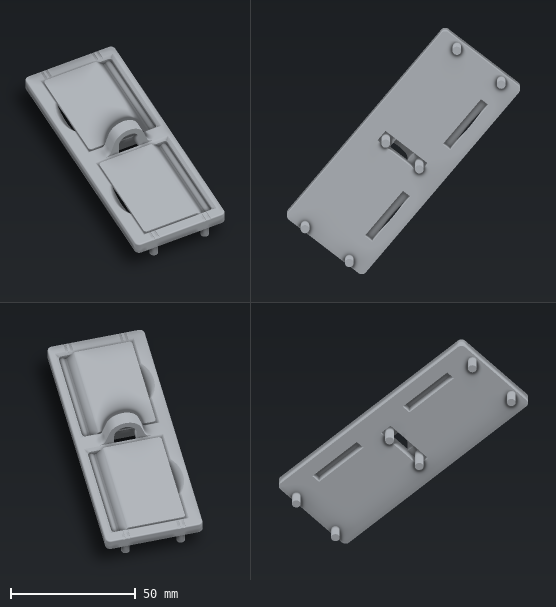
import cadquery as cq
import math

LENGTH = 101.8
WIDTH = 40.0
THICKNESS = 5.0
CORNER_RADIUS = 2.0
TOP_FILLET = 0.6

WINDOW_INNER_X = 3.0
WINDOW_OUTER_X = 46.8
WINDOW_FRONT_Y = -15.0
WINDOW_REAR_Y = 17.6
BEVEL = 1.1
PANEL_CORNER_RADIUS = 1.2

WINDOW_LENGTH = WINDOW_OUTER_X - WINDOW_INNER_X
WINDOW_WIDTH = WINDOW_REAR_Y - WINDOW_FRONT_Y
WINDOW_X = (WINDOW_INNER_X + WINDOW_OUTER_X) / 2
WINDOW_Y = (WINDOW_FRONT_Y + WINDOW_REAR_Y) / 2
PANEL_LENGTH = WINDOW_LENGTH - 2 * BEVEL
PANEL_WIDTH = WINDOW_WIDTH - 2 * BEVEL
PANEL_FRONT_Y = WINDOW_FRONT_Y + BEVEL
PANEL_REAR_Y = WINDOW_REAR_Y - BEVEL

CHANNEL_DEPTH = 3.3
CHANNEL_FLOOR_FRONT_Y = 13.0
CHANNEL_TOP_FRONT_Y = 9.7
CHANNEL_EDGE_RADIUS = 1.4
ROD_RADIUS = 1.4
ROD_AXIS_BELOW_FLOOR = 0.6
ROD_Y = PANEL_REAR_Y - ROD_RADIUS

SCOOP_HALF_LENGTH = 8.8
SCOOP_FRONT_Y = -17.9
TUNNEL_HALF_LENGTH = 7.6
TUNNEL_END_DROP = 0.7

RELIEF_ROOF_DEPTH = 1.6
RELIEF_HALF_LENGTH = 12.2
RELIEF_REAR_Y = WINDOW_FRONT_Y + THICKNESS

LOOP_Y = 0.5
LOOP_THICKNESS = 5.3
LOOP_HEIGHT = 11.4
LOOP_OUTER_RADIUS = 6.9
LOOP_INNER_RADIUS = 4.6
LOOP_CROWN = 2.6
LOOP_FOOT_RADIUS = 3.0
LOOP_FLANK_ANGLE = math.radians(18.4)
LOOP_LEG_DEPTH = 1.5

PIN_DIAMETER = 3.5
PIN_LENGTH = 5.6
END_PIN_X = 48.5
LOOP_PIN_OFFSET_Y = 8.7

GROOVE_CENTRE_Y = 0.2
GROOVE_PAIR_OFFSET_Y = 11.4
GROOVE_HALF_PITCH = 1.0
GROOVE_WIDTH = 1.0
GROOVE_DEPTH = 0.4


def make_frame():
    return (
        cq.Workplane("XY")
        .rect(LENGTH, WIDTH)
        .extrude(THICKNESS)
        .edges("|Z")
        .fillet(CORNER_RADIUS)
        .faces(">Z")
        .edges()
        .fillet(TOP_FILLET)
    )


def make_panel(window_x):
    return (
        cq.Workplane("XY")
        .center(window_x, WINDOW_Y)
        .rect(PANEL_LENGTH, PANEL_WIDTH)
        .extrude(THICKNESS)
        .edges("|Z")
        .fillet(PANEL_CORNER_RADIUS)
    )


def make_moat(window_x):
    opening = (
        cq.Workplane("XY")
        .workplane(offset=THICKNESS)
        .center(window_x, WINDOW_Y)
        .rect(WINDOW_LENGTH, WINDOW_WIDTH)
        .extrude(-BEVEL, taper=45)
    )
    return opening.cut(make_panel(window_x))


def make_channel(window_x):
    """Space above the channel floor, slope and rod, within the panel outline."""
    floor_z = THICKNESS - CHANNEL_DEPTH
    rod_top_z = floor_z - ROD_AXIS_BELOW_FLOOR + ROD_RADIUS
    rod_half_width = math.sqrt(ROD_RADIUS**2 - ROD_AXIS_BELOW_FLOOR**2)
    slope_angle = math.atan2(CHANNEL_DEPTH, CHANNEL_FLOOR_FRONT_Y - CHANNEL_TOP_FRONT_Y)
    tangent_length = CHANNEL_EDGE_RADIUS * math.tan(slope_angle / 2)
    edge_y = CHANNEL_TOP_FRONT_Y - tangent_length
    edge_centre_z = THICKNESS - CHANNEL_EDGE_RADIUS

    def edge_point(angle):
        return (
            edge_y + CHANNEL_EDGE_RADIUS * math.sin(angle),
            edge_centre_z + CHANNEL_EDGE_RADIUS * math.cos(angle),
        )

    profile = (
        cq.Workplane("YZ")
        .moveTo(edge_y, THICKNESS)
        .threePointArc(edge_point(slope_angle / 2), edge_point(slope_angle))
        .lineTo(CHANNEL_FLOOR_FRONT_Y, floor_z)
        .lineTo(ROD_Y - rod_half_width, floor_z)
        .threePointArc((ROD_Y, rod_top_z), (ROD_Y + rod_half_width, floor_z))
        .lineTo(PANEL_REAR_Y, floor_z)
        .lineTo(PANEL_REAR_Y, THICKNESS)
        .close()
    )
    channel = profile.extrude(WINDOW_LENGTH / 2, both=True).translate((window_x, 0, 0))
    return channel.intersect(make_panel(window_x))


def slide_down_and_back(outline):
    """Sweep a closed outline on the top face through the plate at 45 degrees."""
    direction = cq.Vector(0, THICKNESS, -THICKNESS)
    return cq.Workplane(cq.Solid.extrudeLinear(outline.val(), [], direction))


def make_scoop(window_x):
    top = cq.Workplane("XY").workplane(offset=THICKNESS).center(window_x, 0)
    hollow = slide_down_and_back(
        top.moveTo(-SCOOP_HALF_LENGTH, WINDOW_FRONT_Y)
        .threePointArc((0, SCOOP_FRONT_Y), (SCOOP_HALF_LENGTH, WINDOW_FRONT_Y))
        .lineTo(SCOOP_HALF_LENGTH, PANEL_FRONT_Y)
        .lineTo(-SCOOP_HALF_LENGTH, PANEL_FRONT_Y)
        .close()
    )
    tunnel_end_y = WINDOW_FRONT_Y - TUNNEL_END_DROP
    tunnel = slide_down_and_back(
        top.moveTo(-TUNNEL_HALF_LENGTH, tunnel_end_y)
        .threePointArc((0, SCOOP_FRONT_Y), (TUNNEL_HALF_LENGTH, tunnel_end_y))
        .threePointArc((0, WINDOW_FRONT_Y), (-TUNNEL_HALF_LENGTH, tunnel_end_y))
        .close()
    )
    return hollow.cut(make_panel(window_x)).union(tunnel)


def make_scoop_relief(window_x):
    return (
        cq.Workplane("XY")
        .center(window_x, (PANEL_FRONT_Y + RELIEF_REAR_Y) / 2)
        .rect(2 * RELIEF_HALF_LENGTH, RELIEF_REAR_Y - PANEL_FRONT_Y)
        .extrude(THICKNESS - RELIEF_ROOF_DEPTH)
    )


def loop_outline_points():
    """Right-hand outline points, as (offset from the loop centre, height above the plate)."""
    sine = math.sin(LOOP_FLANK_ANGLE)
    cosine = math.cos(LOOP_FLANK_ANGLE)
    centre_z = LOOP_HEIGHT - LOOP_OUTER_RADIUS
    shoulder = (LOOP_OUTER_RADIUS * cosine, centre_z + LOOP_OUTER_RADIUS * sine)
    flank_foot_z = LOOP_FOOT_RADIUS * (1 - sine)
    flank_foot_y = shoulder[0] + (shoulder[1] - flank_foot_z) * math.tan(LOOP_FLANK_ANGLE)
    foot_centre_y = flank_foot_y + LOOP_FOOT_RADIUS * cosine
    middle_angle = (math.pi / 2 + LOOP_FLANK_ANGLE) / 2
    foot_middle = (
        foot_centre_y - LOOP_FOOT_RADIUS * math.cos(middle_angle),
        LOOP_FOOT_RADIUS * (1 - math.sin(middle_angle)),
    )
    return shoulder, (flank_foot_y, flank_foot_z), foot_middle, (foot_centre_y, 0)


SHOULDER, FLANK_FOOT, FOOT_MIDDLE, TOE = loop_outline_points()
SLOT_LENGTH = 2 * TOE[0]


def make_loop():
    def left(point):
        return (-point[0], point[1])

    inner_z = LOOP_HEIGHT - LOOP_CROWN - LOOP_INNER_RADIUS
    return (
        cq.Workplane("YZ", origin=(0, LOOP_Y, THICKNESS))
        .moveTo(LOOP_INNER_RADIUS, -LOOP_LEG_DEPTH)
        .lineTo(TOE[0], -LOOP_LEG_DEPTH)
        .lineTo(*TOE)
        .threePointArc(FOOT_MIDDLE, FLANK_FOOT)
        .lineTo(*SHOULDER)
        .threePointArc((0, LOOP_HEIGHT), left(SHOULDER))
        .lineTo(*left(FLANK_FOOT))
        .threePointArc(left(FOOT_MIDDLE), left(TOE))
        .lineTo(-TOE[0], -LOOP_LEG_DEPTH)
        .lineTo(-LOOP_INNER_RADIUS, -LOOP_LEG_DEPTH)
        .lineTo(-LOOP_INNER_RADIUS, inner_z)
        .threePointArc((0, inner_z + LOOP_INNER_RADIUS), (LOOP_INNER_RADIUS, inner_z))
        .close()
        .extrude(LOOP_THICKNESS / 2, both=True)
    )


def make_loop_slot():
    return (
        cq.Workplane("XY")
        .center(0, LOOP_Y)
        .rect(LOOP_THICKNESS, SLOT_LENGTH)
        .extrude(THICKNESS)
    )


def make_grooves():
    centres = []
    for x in (-LENGTH / 2, LENGTH / 2):
        for pair_y in (-GROOVE_PAIR_OFFSET_Y, GROOVE_PAIR_OFFSET_Y):
            for step in (-GROOVE_HALF_PITCH, GROOVE_HALF_PITCH):
                centres.append((x, GROOVE_CENTRE_Y + pair_y + step))
    reach = LENGTH / 2 - WINDOW_OUTER_X + BEVEL
    return (
        cq.Workplane("XY")
        .workplane(offset=THICKNESS)
        .pushPoints(centres)
        .rect(2 * reach, GROOVE_WIDTH)
        .extrude(-GROOVE_DEPTH)
    )


def make_pins(centres, top_z):
    return (
        cq.Workplane("XY")
        .workplane(offset=-PIN_LENGTH)
        .pushPoints(centres)
        .circle(PIN_DIAMETER / 2)
        .extrude(PIN_LENGTH + top_z)
    )


result = make_frame()

for x in (-WINDOW_X, WINDOW_X):
    result = result.cut(make_moat(x))
    result = result.cut(make_channel(x))
    result = result.cut(make_scoop(x))
    result = result.cut(make_scoop_relief(x))

result = result.cut(make_grooves())
result = result.cut(make_loop_slot()).union(make_loop())

end_pins = [
    (x, GROOVE_CENTRE_Y + y)
    for x in (-END_PIN_X, END_PIN_X)
    for y in (-GROOVE_PAIR_OFFSET_Y, GROOVE_PAIR_OFFSET_Y)
]
loop_pins = [(0, LOOP_Y + y) for y in (-LOOP_PIN_OFFSET_Y, LOOP_PIN_OFFSET_Y)]
leg_underside_z = THICKNESS - LOOP_LEG_DEPTH

result = result.union(make_pins(end_pins, THICKNESS / 2))
result = result.union(make_pins(loop_pins, leg_underside_z))